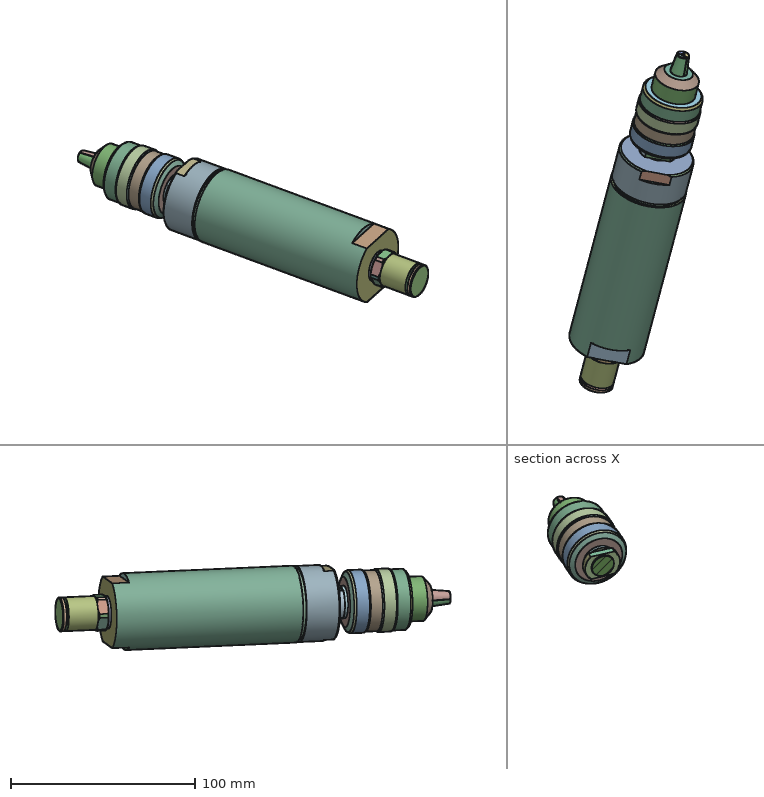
import cadquery as cq
import math

overall_length = 218.5
collet_start = 11.4
collet_cone_end = 15.3
sleeve_start = 24.5
sleeve_shoulder_start = 56.2
sleeve_shoulder_end = 57.5
sleeve_end = 59.0
disc_start = 61.0
disc_end = 64.7
body_start = 66.0
ring_groove_start = 85.0
ring_groove_end = 87.0
body_end = 191.5
hex_start = 193.0
hex_end = 198.9
release_groove_start = 215.3
release_ring_start = 216.5

jaw_tip_diameter = 7.0
jaw_root_diameter = 9.5
jaw_tip_chamfer = 0.33
jaw_count = 3
jaw_slit_width = 0.33
jaw_slit_angle = 113.0
jaw_bore_diameter = 1.5

collet_face_diameter = 16.0
collet_diameter = 24.5
sleeve_low_diameter = 33.5
sleeve_high_diameter = 34.5
sleeve_lead_length = 1.3
sleeve_lead_diameter = 31.0
ring_edges = (33.5, 41.0, 48.5)
ring_bevel = 0.9
sleeve_shoulder_diameter = 33.2
sleeve_rear_diameter = 27.5

spindle_diameter = 18.0
disc_diameter = 20.3
disc_across_flats = 14.9
neck_diameter = 13.1

body_diameter = 42.0
front_cap_diameter = 41.5
ring_groove_diameter = 39.1
body_chamfer = 0.9
front_flat_length = 6.1
front_flat_spacing = 38.0
rear_flat_length = 9.5
rear_flat_spacing = 35.8

fitting_neck_diameter = 18.0
hex_sides = 6
hex_across_flats = 18.5
hex_corner_diameter = 20.3
hex_chamfer = 0.7
fitting_diameter = 18.5
release_groove_diameter = 13.1
release_ring_chamfer = 0.5


def cylinder(start, end, diameter):
    """Round bar on the X axis between two axial positions."""
    return cq.Workplane("YZ", origin=(start, 0, 0)).circle(diameter / 2).extrude(end - start)


def turned(points):
    """Solid of revolution about X from (position, diameter) pairs."""
    outline = [(points[0][0], 0)]
    outline += [(position, diameter / 2) for position, diameter in points]
    outline += [(points[-1][0], 0)]
    return cq.Workplane("XY").polyline(outline).close().revolve(360, (0, 0, 0), (1, 0, 0))


def with_flats(bar, start, length, spacing):
    """Mill two parallel flats, facing +Z and -Z, over one stretch of a bar."""
    cutter_size = 2 * body_diameter
    for side in (1, -1):
        center = (start + length / 2, 0, side * (spacing + cutter_size) / 2)
        bar = bar.cut(cq.Workplane("XY", origin=center).box(length, cutter_size, cutter_size))
    return bar


def make_jaws():
    jaws = turned([
        (0, jaw_tip_diameter - 2 * jaw_tip_chamfer),
        (jaw_tip_chamfer, jaw_tip_diameter),
        (collet_start, jaw_root_diameter),
    ])
    slit = cq.Workplane("XY").box(
        collet_start, jaw_root_diameter, jaw_slit_width, centered=(False, False, True)
    )
    for index in range(jaw_count):
        angle = jaw_slit_angle + index * 360 / jaw_count
        jaws = jaws.cut(slit.rotate((0, 0, 0), (1, 0, 0), angle))
    return jaws.cut(cylinder(0, collet_start, jaw_bore_diameter))


def make_collet():
    return turned([
        (collet_start, collet_face_diameter),
        (collet_cone_end, collet_diameter),
        (sleeve_start, collet_diameter),
    ])


def make_sleeve():
    """Grip sleeve with alternating low and high rings and a two-step tapered rear."""
    profile = [
        (sleeve_start, sleeve_lead_diameter),
        (sleeve_start + sleeve_lead_length, sleeve_low_diameter),
    ]
    before, after = sleeve_low_diameter, sleeve_high_diameter
    for edge in ring_edges:
        profile.append((edge - ring_bevel / 2, before))
        profile.append((edge + ring_bevel / 2, after))
        before, after = after, before
    profile += [
        (sleeve_shoulder_start, sleeve_high_diameter),
        (sleeve_shoulder_end, sleeve_shoulder_diameter),
        (sleeve_end, sleeve_rear_diameter),
    ]
    return turned(profile)


def make_spindle():
    disc = cylinder(disc_start, disc_end, disc_diameter)
    disc = with_flats(disc, disc_start, disc_end - disc_start, disc_across_flats)
    spindle = cylinder(sleeve_end, disc_start, spindle_diameter)
    return spindle.union(disc).union(cylinder(disc_end, body_start, neck_diameter))


def make_body():
    front_cap = cylinder(body_start, ring_groove_start, front_cap_diameter)
    front_cap = front_cap.faces("<X").edges().chamfer(body_chamfer)
    front_cap = with_flats(front_cap, body_start, front_flat_length, front_flat_spacing)

    barrel = cylinder(ring_groove_end, body_end, body_diameter)
    barrel = with_flats(barrel, body_end - rear_flat_length, rear_flat_length, rear_flat_spacing)

    groove_core = cylinder(ring_groove_start, ring_groove_end, ring_groove_diameter)
    return front_cap.union(groove_core).union(barrel)


def make_fitting():
    hex_length = hex_end - hex_start
    hex_nut = (
        cq.Workplane("YZ", origin=(hex_start, 0, 0))
        .polygon(hex_sides, hex_across_flats / math.cos(math.pi / hex_sides))
        .extrude(hex_length)
    )
    hex_nut = hex_nut.intersect(
        cylinder(hex_start, hex_end, hex_corner_diameter).edges().chamfer(hex_chamfer)
    )
    release_ring = cylinder(release_ring_start, overall_length, fitting_diameter)
    release_ring = release_ring.faces(">X").edges().chamfer(release_ring_chamfer)
    return (
        cylinder(body_end, hex_start, fitting_neck_diameter)
        .union(hex_nut)
        .union(cylinder(hex_end, release_groove_start, fitting_diameter))
        .union(cylinder(release_groove_start, release_ring_start, release_groove_diameter))
        .union(release_ring)
    )


result = make_jaws()
for section in (make_collet(), make_sleeve(), make_spindle(), make_body(), make_fitting()):
    result = result.union(section)